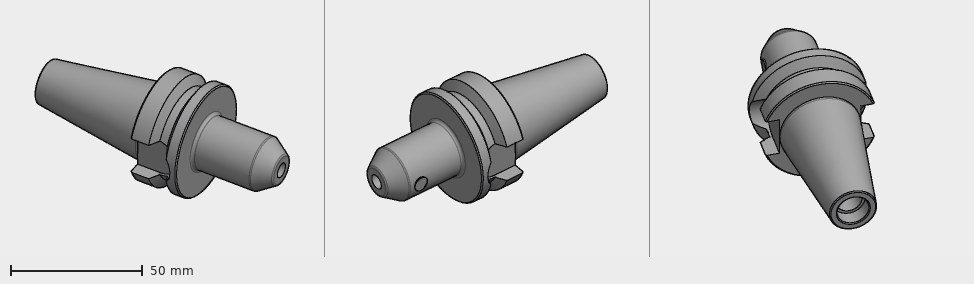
import cadquery as cq
import math

TOTAL_LENGTH = 103.5

SHANK_END_DIAMETER = 18.4
SHANK_GAUGE_DIAMETER = 31.8
SHANK_TAPER_END = 48.4
SHANK_EDGE_CHAMFER = 0.4

FLANGE_START = 49.5
FLANGE_END = 70.5
FLANGE_DIAMETER = 46.0
FLANGE_CHAMFER = 0.5
GROOVE_DIAMETER = 38.0
GROOVE_FLOOR_START = 59.9
GROOVE_FLOOR_END = 63.5
GROOVE_WALL_LENGTH = 2.4

SLOT_WIDTH = 16.6
SLOT_END = 67.8
SLOT_FLOOR_OFFSET = 16.0

NOSE_DIAMETER = 22.3
NOSE_ROOT_FILLET = 1.2
NOSE_CONE_START = 96.1
NOSE_END_DIAMETER = 12.5
NOSE_SHOULDER_FILLET = 1.0
NOSE_TIP_FILLET = 1.0
EDGE_SEARCH_MARGIN = 0.1

PULL_BORE_DIAMETER = 12.5
PULL_BORE_DEPTH = 6.2
PULL_BORE_CHAMFER = 0.4
THREAD_BORE_DIAMETER = 10.1
THREAD_BORE_DEPTH = 24.8
RELIEF_BORE_DIAMETER = 7.8
RELIEF_BORE_DEPTH = 62.1
RELIEF_CONE_LENGTH = 0.5
TOOL_BORE_DIAMETER = 6.0

SCREW_DIAMETER = 6.0
SCREW_X = 90.8
SCREW_TIP_Y = 2.0
SCREW_PROTRUSION = 0.2


def revolve_about_x(profile):
    """Turn a closed XY profile of (x, radius) about the X axis."""
    return profile.close().revolve(360, (0, 0, 0), (1, 0, 0))


def shank():
    profile = (
        cq.Workplane("XY")
        .lineTo(0, SHANK_END_DIAMETER / 2)
        .lineTo(SHANK_TAPER_END, SHANK_GAUGE_DIAMETER / 2)
        .lineTo(FLANGE_START, SHANK_GAUGE_DIAMETER / 2)
        .lineTo(FLANGE_START, 0)
    )
    return revolve_about_x(profile).faces("<X").chamfer(SHANK_EDGE_CHAMFER)


def flange():
    outer_radius = FLANGE_DIAMETER / 2
    groove_radius = GROOVE_DIAMETER / 2
    profile = (
        cq.Workplane("XY")
        .moveTo(FLANGE_START, 0)
        .lineTo(FLANGE_START, outer_radius)
        .lineTo(GROOVE_FLOOR_START - GROOVE_WALL_LENGTH, outer_radius)
        .lineTo(GROOVE_FLOOR_START, groove_radius)
        .lineTo(GROOVE_FLOOR_END, groove_radius)
        .lineTo(GROOVE_FLOOR_END + GROOVE_WALL_LENGTH, outer_radius)
        .lineTo(FLANGE_END, outer_radius)
        .lineTo(FLANGE_END, 0)
    )
    return revolve_about_x(profile).faces("<X or >X").chamfer(FLANGE_CHAMFER)


def nose():
    """Cylinder with a rounded cone at the tip and a flared root at the flange."""
    radius = NOSE_DIAMETER / 2
    cylinder = (
        cq.Workplane("YZ", origin=(FLANGE_END, 0, 0))
        .circle(radius)
        .extrude(NOSE_CONE_START - FLANGE_END)
    )
    cone_profile = (
        cq.Workplane("XY")
        .moveTo(NOSE_CONE_START, 0)
        .lineTo(NOSE_CONE_START, radius)
        .lineTo(TOTAL_LENGTH, NOSE_END_DIAMETER / 2)
        .lineTo(TOTAL_LENGTH, 0)
    )
    body = cylinder.union(revolve_about_x(cone_profile))
    body = body.faces(">X").edges().fillet(NOSE_TIP_FILLET)
    shoulder = cq.selectors.BoxSelector(
        (NOSE_CONE_START - EDGE_SEARCH_MARGIN, -radius, -radius),
        (NOSE_CONE_START + EDGE_SEARCH_MARGIN, radius, radius),
    )
    body = body.edges(shoulder).fillet(NOSE_SHOULDER_FILLET)

    arc_offset = NOSE_ROOT_FILLET * (1 - math.sqrt(0.5))
    root_profile = (
        cq.Workplane("XY")
        .moveTo(FLANGE_END, 0)
        .lineTo(FLANGE_END, radius + NOSE_ROOT_FILLET)
        .threePointArc(
            (FLANGE_END + arc_offset, radius + arc_offset),
            (FLANGE_END + NOSE_ROOT_FILLET, radius),
        )
        .lineTo(FLANGE_END + NOSE_ROOT_FILLET, 0)
    )
    return body.union(revolve_about_x(root_profile))


def drive_slot(side):
    """Cutter for the slot on the +Y (side = 1) or -Y (side = -1) of the flange."""
    depth = FLANGE_DIAMETER / 2 - SLOT_FLOOR_OFFSET
    arc_center_x = SLOT_END - SLOT_WIDTH / 2
    return (
        cq.Workplane("XZ", origin=(0, side * SLOT_FLOOR_OFFSET, 0))
        .moveTo(FLANGE_START, -SLOT_WIDTH / 2)
        .lineTo(arc_center_x, -SLOT_WIDTH / 2)
        .threePointArc((SLOT_END, 0), (arc_center_x, SLOT_WIDTH / 2))
        .lineTo(FLANGE_START, SLOT_WIDTH / 2)
        .close()
        .extrude(-side * depth)
    )


def stepped_bore():
    pull_radius = PULL_BORE_DIAMETER / 2
    thread_radius = THREAD_BORE_DIAMETER / 2
    relief_radius = RELIEF_BORE_DIAMETER / 2
    tool_radius = TOOL_BORE_DIAMETER / 2
    profile = (
        cq.Workplane("XY")
        .lineTo(0, pull_radius + PULL_BORE_CHAMFER)
        .lineTo(PULL_BORE_CHAMFER, pull_radius)
        .lineTo(PULL_BORE_DEPTH, pull_radius)
        .lineTo(PULL_BORE_DEPTH, thread_radius)
        .lineTo(THREAD_BORE_DEPTH, thread_radius)
        .lineTo(THREAD_BORE_DEPTH, relief_radius)
        .lineTo(RELIEF_BORE_DEPTH, relief_radius)
        .lineTo(RELIEF_BORE_DEPTH + RELIEF_CONE_LENGTH, tool_radius)
        .lineTo(TOTAL_LENGTH, tool_radius)
        .lineTo(TOTAL_LENGTH, 0)
    )
    return revolve_about_x(profile)


def clamping_screw():
    """Flat-ended screw reaching from just outside the nose into the tool bore."""
    length = NOSE_DIAMETER / 2 + SCREW_PROTRUSION - SCREW_TIP_Y
    return (
        cq.Workplane("XZ", origin=(SCREW_X, SCREW_TIP_Y, 0))
        .circle(SCREW_DIAMETER / 2)
        .extrude(-length)
    )


result = shank().union(flange()).union(nose())
for slot_side in (-1, 1):
    result = result.cut(drive_slot(slot_side))
result = result.cut(stepped_bore()).union(clamping_screw())